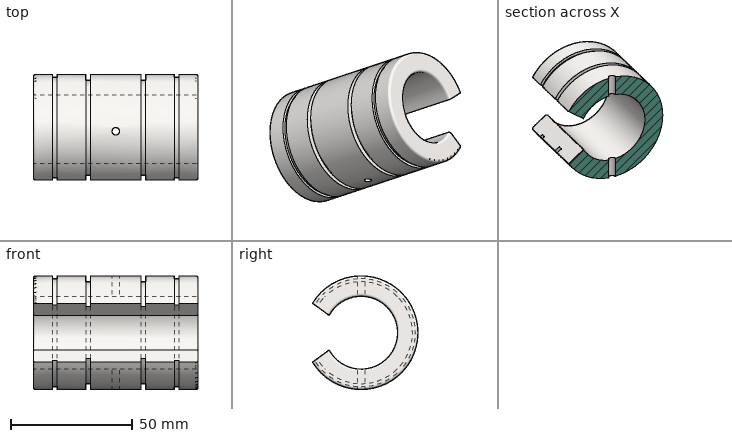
import cadquery as cq
import math

length = 68.0
outer_diameter = 47.0
bore_diameter = 30.0
edge_radius = 1.0

opening_half_angle = 36.0
opening_apex_offset = 3.4

groove_width = 1.9
end_groove_depth = 1.15
end_groove_offset = 25.1
inner_groove_depth = 2.4
inner_groove_offset = 11.4

oil_hole_diameter = 3.0

outer_radius = outer_diameter / 2


def tube(outside_diameter, inside_diameter, tube_length, center_x):
    """Hollow cylinder along X, centred at center_x."""
    return (
        cq.Workplane("YZ", origin=(center_x - tube_length / 2, 0, 0))
        .circle(outside_diameter / 2)
        .circle(inside_diameter / 2)
        .extrude(tube_length)
    )


def groove_ring(depth, center_x):
    """Ring of material removed by one outside groove."""
    clearance = depth
    return tube(
        outer_diameter + 2 * clearance,
        outer_diameter - 2 * depth,
        groove_width,
        center_x,
    )


def opening_wedge():
    """Full-length wedge that opens the tube on its -Y side."""
    far_y = -2 * outer_radius
    half_height = (-far_y - opening_apex_offset) * math.tan(math.radians(opening_half_angle))
    return (
        cq.Workplane("YZ")
        .moveTo(-opening_apex_offset, 0)
        .lineTo(far_y, half_height)
        .lineTo(far_y, -half_height)
        .close()
        .extrude(length / 2, both=True)
    )


body = tube(outer_diameter, bore_diameter, length, 0)
body = body.faces("<X or >X").edges().fillet(edge_radius)

for groove_depth, groove_offset in (
    (end_groove_depth, end_groove_offset),
    (inner_groove_depth, inner_groove_offset),
):
    for side in (-1, 1):
        body = body.cut(groove_ring(groove_depth, side * groove_offset))

body = body.cut(opening_wedge())

oil_hole = cq.Workplane("XY").circle(oil_hole_diameter / 2).extrude(outer_radius, both=True)
result = body.cut(oil_hole)